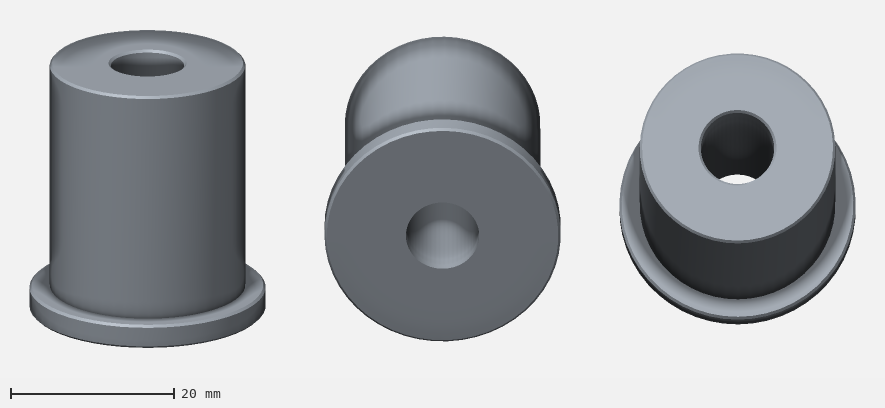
import cadquery as cq

total_height = 32.0
flange_diameter = 29.0
flange_thickness = 3.0
body_diameter = 24.0
bore_diameter = 9.0
edge_chamfer = 0.3


def cylinder(diameter, height):
    """Upright cylinder standing on Z = 0."""
    return cq.Workplane("XY").circle(diameter / 2).extrude(height)


flange = cylinder(flange_diameter, flange_thickness).edges("%CIRCLE").chamfer(edge_chamfer)

body = cylinder(body_diameter, total_height)

bore = cylinder(bore_diameter, total_height)
bushing = flange.union(body).cut(bore)

result = bushing.faces(">Z").edges().chamfer(edge_chamfer)